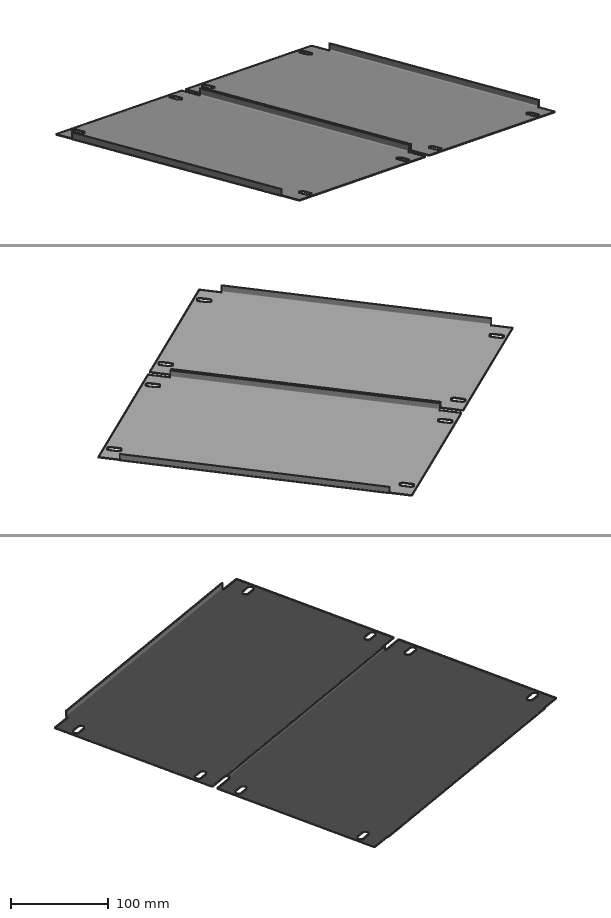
import cadquery as cq

total_width = 332.0
total_depth = 398.0
total_height = 8.0

sheet_thickness = 1.0
bend_radius = 2.0
inner_bend_radius = bend_radius - sheet_thickness
flange_length = 285.5
panel_gap = 2.2
panel_depth = (total_depth - panel_gap) / 2
plate_depth = panel_depth - 2 * bend_radius
panel_pitch = panel_depth + panel_gap

slot_length = 15.5
slot_width = 7.0
slot_edge_distance = 11.0
slot_spacing_x = total_width - 2 * slot_edge_distance
slot_spacing_y = 150.5


def make_flange():
    """Strip that curves upward from the +Y plate edge and ends in a vertical wall."""
    bend_start = plate_depth / 2
    outer_face = bend_start + bend_radius
    inner_face = outer_face - sheet_thickness
    return (
        cq.Workplane("YZ", origin=(-flange_length / 2, 0, 0))
        .moveTo(bend_start, 0)
        .radiusArc((outer_face, bend_radius), -bend_radius)
        .lineTo(outer_face, total_height)
        .lineTo(inner_face, total_height)
        .lineTo(inner_face, bend_radius)
        .radiusArc((bend_start, sheet_thickness), inner_bend_radius)
        .close()
        .extrude(flange_length)
    )


def make_panel(center_y):
    """Flat slotted plate with a flange bent up along each long edge."""
    plate = cq.Workplane("XY").box(
        total_width, plate_depth, sheet_thickness, centered=(True, True, False)
    )
    slots = (
        cq.Workplane("XY")
        .rarray(slot_spacing_x, slot_spacing_y, 2, 2)
        .slot2D(slot_length, slot_width)
        .extrude(sheet_thickness)
    )
    flange = make_flange()
    panel = plate.cut(slots).union(flange).union(flange.mirror("XZ"))
    return panel.translate((0, center_y, 0))


panels = [make_panel(side * panel_pitch / 2) for side in (-1, 1)]

result = cq.Compound.makeCompound([panel.val() for panel in panels])